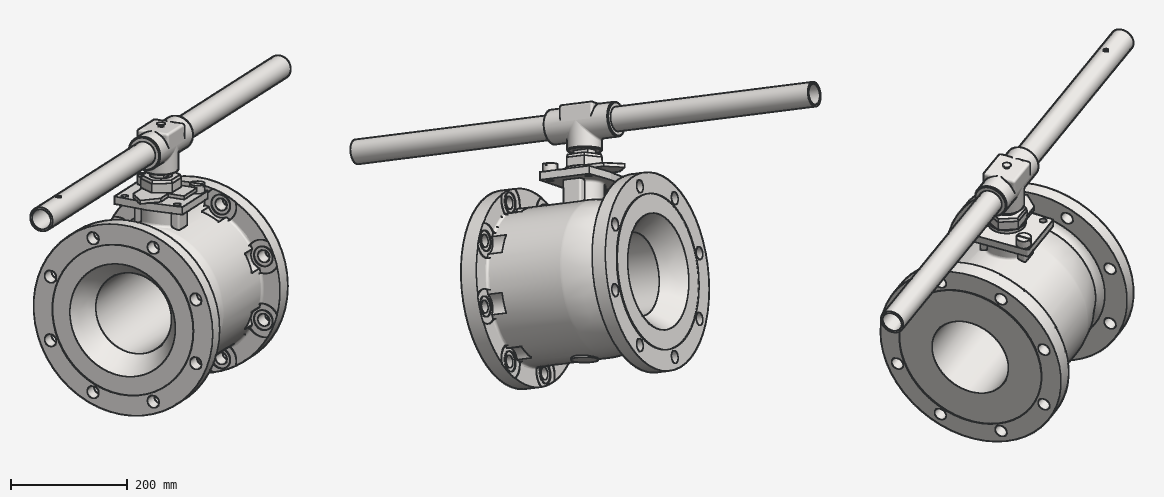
import cadquery as cq
import math


FLANGE_R = 171.0
FRONT_FACE_Y = -147.5
FRONT_FLANGE_T = 27.0
BACK_FACE_Y = 146.0
BACK_FLANGE_T = 31.0
RAISED_R = 135.0
RAISED_H = 2.0
BOLT_COUNT = 8
BOLT_CIRCLE_R = 150.0
BOLT_HOLE_D = 22.0
COUNTERBORE_D = 36.0
SPOTFACE_D = 60.0
SPOTFACE_DEPTH = 1.0
POCKET_D = 47.0
POCKET_LENGTH = 27.5
COUNTERBORE_DEPTH = 3.0

BODY_R = 136.5
DOME_START_Y = -34.0
DOME_MID = (132.0, -68.0)
DOME_END = (119.0, -103.5)
FRONT_FILLET_R = 129.0
THROAT_FLARE = 0.25
BACK_FILLET = 5.0
BORE_R = 145.0 / 2
MOUTH_R = 101.0
MOUTH_DEPTH = 42.0
DRAIN_BOSS_D = 47.0
DRAIN_BOSS_Z = -138.0

PLATE_BOTTOM_Z = 170.0
PLATE_T = 14.0
PLATE_TOP_Z = PLATE_BOTTOM_Z + PLATE_T
PLATE_HALF_X = 65.0
PLATE_BACK_Y = 51.0
PLATE_FRONT_Y = -49.0
PLATE_APEX_Y = -53.0
PLATE_HOLE_X = 50.0
PLATE_HOLE_Y = 38.5
PLATE_HOLE_D = 12.0
PLATE_CORNER_R = 3.0
NECK_D = 68.0
NECK_FILLET = 5.0
RIB_HALF_X = 43.0
RIB_W = 36.0
RIB_EDGE_R = 4.0
COLLAR_D = 47.0
COLLAR_TOP_Z = 190.0

STEM_D = 38.5
STEM_FLAT_W = 26.0
STEM_BOTTOM_Z = PLATE_BOTTOM_Z
STOP_T = 6.0
STOP_TOP_Z = COLLAR_TOP_Z + STOP_T
STOP_HUB_R = 33.0
STOP_ARM_END_X = 57.0
STOP_ARM_FRONT_Y = -26.0
STOP_ARM_BACK_Y = 24.0
POINTER_W = 53.0
POINTER_TIP_Y = -81.0
NUT_FLATS = 60.0
NUT_TOP_Z = 218.0
NUT_BEVEL_H = 5.5
NUT_BEVEL_W = 2.0

SCREW_HEAD_D = 26.0
SCREW_TOP_Z = 199.0
SCREW_SLOT_W = 1.4
SCREW_SLOT_DEPTH = 4.0

PIPE_AXIS_Z = 276.0
PIPE_D = 43.0
PIPE_BORE_D = 36.0
PIPE_LENGTH = 916.0
PIPE_FRONT_Y = -460.0
PIPE_HOLE_D = 9.0
PIPE_HOLE_FROM_END = 66.0
TEE_D = 60.0
TEE_LENGTH = 130.0
TEE_BOTTOM_Z = 227.0
TEE_EDGE = 2.0
TEE_FILLET = 4.0
BLOCK_LENGTH = 67.0
BLOCK_DROP = 0.1
BLOCK_EDGE_R = 5.0
BOLT_SHANK_D = 9.0
BOLT_HEAD_D = 15.0
BOLT_TOP_Z = 310.5
BOLT_HEAD_H = 3.0
BOLT_ENGAGEMENT = 11.0

SELECT_MARGIN = 1.0

PIPE_BOTTOM_Z = PIPE_AXIS_Z - PIPE_D / 2
STEM_TOP_Z = PIPE_BOTTOM_Z
BOLT_BOTTOM_Z = STEM_TOP_Z - BOLT_ENGAGEMENT


def cylinder_z(diameter, bottom, top, x=0, y=0):
    """Upright cylinder between two heights."""
    return cq.Workplane("XY", (x, y, bottom)).circle(diameter / 2).extrude(top - bottom)


def cylinder_y(diameter, start, end, x=0, z=0):
    """Cylinder along Y between two Y positions."""
    return cq.Workplane("XZ", (x, start, z)).circle(diameter / 2).extrude(start - end)


def quarter_arc_inset(radius):
    """Distance from each tangent line to the middle of a quarter-circle fillet."""
    return radius * (1 - math.sqrt(0.5))


def box_around_axis(width, bottom, top):
    """Selector for whatever lies fully inside a square column on the stem axis."""
    half = width / 2 + SELECT_MARGIN
    return cq.selectors.BoxSelector((-half, -half, bottom), (half, half, top), boundingbox=True)


def stem_profile(bottom, top):
    """Round bar with two flats facing +X and -X."""
    flats = cq.Workplane("XY", (0, 0, bottom)).rect(STEM_FLAT_W, STEM_D).extrude(top - bottom)
    return cylinder_z(STEM_D, bottom, top).intersect(flats)


def bolt_positions():
    """X and Z of the flange bolts, straddling the centre lines."""
    step = 2 * math.pi / BOLT_COUNT
    angles = [(i + 0.5) * step for i in range(BOLT_COUNT)]
    return [(BOLT_CIRCLE_R * math.cos(a), BOLT_CIRCLE_R * math.sin(a)) for a in angles]


def make_shell():
    """Revolved body with both flanges; the profile is (radius, Y)."""
    front_rim = FRONT_FACE_Y + RAISED_H
    front_inner = front_rim + FRONT_FLANGE_T
    back_rim = BACK_FACE_Y - RAISED_H
    back_inner = back_rim - BACK_FLANGE_T
    dome_end_r, dome_end_y = DOME_END
    throat_mid_r = dome_end_r + THROAT_FLARE * (FRONT_FILLET_R - dome_end_r)
    throat_mid = (throat_mid_r, (dome_end_y + front_inner) / 2)
    fillet_mid = quarter_arc_inset(BACK_FILLET)
    profile = (
        cq.Workplane("XY")
        .moveTo(0, FRONT_FACE_Y)
        .lineTo(RAISED_R, FRONT_FACE_Y)
        .lineTo(RAISED_R, front_rim)
        .lineTo(FLANGE_R, front_rim)
        .lineTo(FLANGE_R, front_inner)
        .lineTo(FRONT_FILLET_R, front_inner)
        .threePointArc(throat_mid, DOME_END)
        .threePointArc(DOME_MID, (BODY_R, DOME_START_Y))
        .lineTo(BODY_R, back_inner - BACK_FILLET)
        .threePointArc((BODY_R + fillet_mid, back_inner - fillet_mid), (BODY_R + BACK_FILLET, back_inner))
        .lineTo(FLANGE_R, back_inner)
        .lineTo(FLANGE_R, back_rim)
        .lineTo(RAISED_R, back_rim)
        .lineTo(RAISED_R, BACK_FACE_Y)
        .lineTo(0, BACK_FACE_Y)
        .close()
    )
    return profile.revolve(360, (0, 0, 0), (0, 1, 0))


def make_bore():
    """Straight bore with a conical mouth at the front."""
    profile = (
        cq.Workplane("XY")
        .moveTo(0, FRONT_FACE_Y)
        .lineTo(MOUTH_R, FRONT_FACE_Y)
        .lineTo(BORE_R, FRONT_FACE_Y + MOUTH_DEPTH)
        .lineTo(BORE_R, BACK_FACE_Y)
        .lineTo(0, BACK_FACE_Y)
        .close()
    )
    return profile.revolve(360, (0, 0, 0), (0, 1, 0))


def make_neck():
    """Round neck flaring into the underside of the plate; the profile is (radius, Z)."""
    radius = NECK_D / 2
    fillet_mid = quarter_arc_inset(NECK_FILLET)
    profile = (
        cq.Workplane("XZ")
        .lineTo(radius, 0)
        .lineTo(radius, PLATE_BOTTOM_Z - NECK_FILLET)
        .threePointArc(
            (radius + fillet_mid, PLATE_BOTTOM_Z - fillet_mid),
            (radius + NECK_FILLET, PLATE_BOTTOM_Z),
        )
        .lineTo(0, PLATE_BOTTOM_Z)
        .close()
    )
    return profile.revolve(360, (0, 0, 0), (0, 1, 0))


def make_mount():
    """Cross rib, top plate and stem collar."""
    rib = cq.Workplane("XY").rect(2 * RIB_HALF_X, RIB_W).extrude(PLATE_BOTTOM_Z)
    rib = rib.edges("|Z").fillet(RIB_EDGE_R)
    plate = (
        cq.Workplane("XY", (0, 0, PLATE_BOTTOM_Z))
        .moveTo(-PLATE_HALF_X, PLATE_BACK_Y)
        .lineTo(-PLATE_HALF_X, PLATE_FRONT_Y)
        .lineTo(0, PLATE_APEX_Y)
        .lineTo(PLATE_HALF_X, PLATE_FRONT_Y)
        .lineTo(PLATE_HALF_X, PLATE_BACK_Y)
        .close()
        .extrude(PLATE_T)
    )
    plate = plate.edges("|Z and >Y").fillet(PLATE_CORNER_R)
    seat = cylinder_z(COLLAR_D, PLATE_TOP_Z, COLLAR_TOP_Z)
    return rib.union(plate).union(seat)


def cut_bolt_seats(body):
    """Bolt holes in both flanges, with spotface, counterbore and wrench pocket at the back."""
    front_inner = FRONT_FACE_Y + RAISED_H + FRONT_FLANGE_T
    back_inner = BACK_FACE_Y - RAISED_H - BACK_FLANGE_T
    spotface_y = back_inner + SPOTFACE_DEPTH
    fillet_start = back_inner - BACK_FILLET
    wall = cylinder_y(2 * BODY_R, fillet_start, spotface_y)
    for x, z in bolt_positions():
        body = body.cut(cylinder_y(BOLT_HOLE_D, FRONT_FACE_Y, front_inner, x, z))
        body = body.cut(cylinder_y(BOLT_HOLE_D, back_inner, BACK_FACE_Y, x, z))
        body = body.cut(cylinder_y(SPOTFACE_D, fillet_start, spotface_y, x, z).cut(wall))
        body = body.cut(cylinder_y(POCKET_D, back_inner - POCKET_LENGTH, spotface_y, x, z))
        body = body.cut(cylinder_y(COUNTERBORE_D, back_inner, back_inner + COUNTERBORE_DEPTH, x, z))
    return body


def make_body():
    body = make_shell().union(make_neck())
    neck_base = box_around_axis(NECK_D, BORE_R, PLATE_BOTTOM_Z - 2 * NECK_FILLET)
    body = body.edges(neck_base).fillet(NECK_FILLET)
    body = body.union(make_mount())
    body = body.union(cylinder_z(DRAIN_BOSS_D, DRAIN_BOSS_Z, 0)).cut(make_bore())
    body = cut_bolt_seats(body)
    for x in (-PLATE_HOLE_X, PLATE_HOLE_X):
        for y in (-PLATE_HOLE_Y, PLATE_HOLE_Y):
            body = body.cut(cylinder_z(PLATE_HOLE_D, PLATE_BOTTOM_Z, PLATE_TOP_Z, x, y))
    return body.cut(cylinder_z(STEM_D, STEM_BOTTOM_Z, COLLAR_TOP_Z))


def make_stem():
    """Stem, round up to the nut and flatted above it, tapped for the clamp bolt."""
    stem = cylinder_z(STEM_D, STEM_BOTTOM_Z, NUT_TOP_Z)
    stem = stem.union(stem_profile(NUT_TOP_Z, STEM_TOP_Z))
    return stem.cut(lever_pipe_envelope()).cut(cylinder_z(BOLT_SHANK_D, BOLT_BOTTOM_Z, STEM_TOP_Z))


def make_stop_plate():
    """Hub with a stop arm toward +X and a pointed arm toward -Y."""
    half_pointer = POINTER_W / 2
    shoulder_y = POINTER_TIP_Y + half_pointer
    base = cq.Workplane("XY", (0, 0, COLLAR_TOP_Z))
    hub = base.circle(STOP_HUB_R).extrude(STOP_T)
    arm = (
        base.moveTo(0, STOP_ARM_FRONT_Y)
        .lineTo(STOP_ARM_END_X, STOP_ARM_FRONT_Y)
        .lineTo(STOP_ARM_END_X, STOP_ARM_BACK_Y)
        .lineTo(0, STOP_ARM_BACK_Y)
        .close()
        .extrude(STOP_T)
    )
    pointer = (
        base.moveTo(half_pointer, 0)
        .lineTo(half_pointer, shoulder_y)
        .lineTo(0, POINTER_TIP_Y)
        .lineTo(-half_pointer, shoulder_y)
        .lineTo(-half_pointer, 0)
        .close()
        .extrude(STOP_T)
    )
    return hub.union(arm).union(pointer).cut(cylinder_z(STEM_D, COLLAR_TOP_Z, STOP_TOP_Z))


def make_nut():
    """Hex nut with corners on Y and a bevelled top."""
    corners = NUT_FLATS / math.cos(math.pi / 6)
    height = NUT_TOP_Z - STOP_TOP_Z
    nut = (
        cq.Workplane("XY", (0, 0, STOP_TOP_Z))
        .transformed(rotate=(0, 0, 30))
        .polygon(6, corners)
        .extrude(height)
    )
    nut = nut.faces(">Z").chamfer(NUT_BEVEL_H, NUT_BEVEL_W)
    return nut.cut(cylinder_z(STEM_D, STOP_TOP_Z, NUT_TOP_Z))


def make_stop_screw(x):
    """Slotted cheese-head screw in a rear hole of the top plate."""
    shank = cylinder_z(PLATE_HOLE_D, PLATE_BOTTOM_Z, PLATE_TOP_Z, x, PLATE_HOLE_Y)
    head = cylinder_z(SCREW_HEAD_D, PLATE_TOP_Z, SCREW_TOP_Z, x, PLATE_HOLE_Y)
    slot = (
        cq.Workplane("XY", (x, PLATE_HOLE_Y, SCREW_TOP_Z))
        .rect(SCREW_HEAD_D, SCREW_SLOT_W)
        .extrude(-SCREW_SLOT_DEPTH)
    )
    return shank.union(head).cut(slot)


def lever_pipe_envelope():
    return cylinder_y(PIPE_D, PIPE_FRONT_Y, PIPE_FRONT_Y + PIPE_LENGTH, z=PIPE_AXIS_Z)


def make_tee():
    """Tee head: sleeve for the pipe, socket for the stem and a block on top."""
    sleeve = cylinder_y(TEE_D, -TEE_LENGTH / 2, TEE_LENGTH / 2, z=PIPE_AXIS_Z).edges().chamfer(TEE_EDGE)
    socket = cylinder_z(TEE_D, TEE_BOTTOM_Z, PIPE_AXIS_Z).faces("<Z").chamfer(TEE_EDGE)
    block = (
        cq.Workplane("XY", (0, 0, PIPE_AXIS_Z))
        .rect(TEE_D, BLOCK_LENGTH)
        .extrude(TEE_D / 2 - BLOCK_DROP)
        .edges("|Z or >Z")
        .fillet(BLOCK_EDGE_R)
    )
    tee = sleeve.union(socket)
    junction = box_around_axis(TEE_D, TEE_BOTTOM_Z + 2 * TEE_EDGE, PIPE_AXIS_Z + SELECT_MARGIN)
    tee = tee.edges(junction).fillet(TEE_FILLET).union(block)
    tee = tee.cut(lever_pipe_envelope()).cut(stem_profile(TEE_BOTTOM_Z, STEM_TOP_Z + PIPE_D / 2))
    return tee.cut(cylinder_z(BOLT_SHANK_D, PIPE_AXIS_Z, BOLT_TOP_Z))


def make_pipe():
    bore = cylinder_y(PIPE_BORE_D, PIPE_FRONT_Y, PIPE_FRONT_Y + PIPE_LENGTH, z=PIPE_AXIS_Z)
    end_hole = cylinder_z(PIPE_HOLE_D, PIPE_AXIS_Z, BOLT_TOP_Z, y=PIPE_FRONT_Y + PIPE_HOLE_FROM_END)
    bolt_hole = cylinder_z(BOLT_SHANK_D, STEM_TOP_Z, BOLT_TOP_Z)
    return lever_pipe_envelope().cut(bore).cut(end_hole).cut(bolt_hole)


def make_clamp_bolt():
    """Bolt through tee and pipe into the stem, with a countersunk-shaped head."""
    shank = cylinder_z(BOLT_SHANK_D, BOLT_BOTTOM_Z, BOLT_TOP_Z)
    head = (
        cq.Workplane("XY", (0, 0, BOLT_TOP_Z - BOLT_HEAD_H))
        .circle(BOLT_SHANK_D / 2)
        .workplane(offset=BOLT_HEAD_H)
        .circle(BOLT_HEAD_D / 2)
        .loft()
    )
    return shank.union(head)


body = make_body()
stem = make_stem()
stop_plate = make_stop_plate()
nut = make_nut()
stop_screws = [make_stop_screw(x) for x in (-PLATE_HOLE_X, PLATE_HOLE_X)]
tee = make_tee()
pipe = make_pipe()
clamp_bolt = make_clamp_bolt()

result = cq.Compound.makeCompound([
    body.val(),
    stem.val(),
    stop_plate.val(),
    nut.val(),
    *[screw.val() for screw in stop_screws],
    tee.val(),
    pipe.val(),
    clamp_bolt.val(),
])